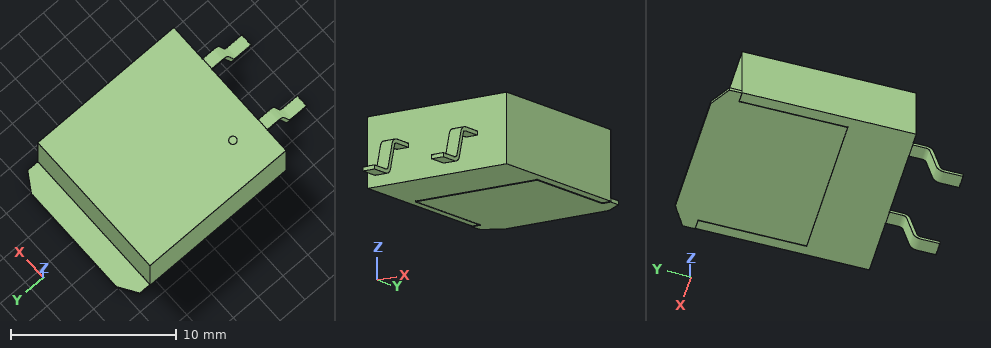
import cadquery as cq
import math


body_width = 10.3
body_length = 10.99
body_height = 4.5

total_length = 16.18
tab_thickness = 0.26
tab_standoff = 0.05
tab_overhang = 1.62
tab_length = 8.46
tab_corner_width = 1.26
tab_corner_length = 0.81
tab_side_inset = 0.65

lead_reach = total_length - body_length - tab_overhang
lead_width = 0.85
lead_pitch = 5.1
lead_thickness = 0.26
lead_top = 2.38
lead_shoulder = 1.62
lead_angle = math.radians(75)
bend_inner_radius = 0.26
bend_outer_radius = bend_inner_radius + lead_thickness

marker_diameter = 0.52
marker_depth = 0.1
marker_x = -lead_pitch / 2
marker_y = 2.0


def make_tab():
    """Plate with two cut rear corners, narrowed where it is buried in the housing."""
    half_width = body_width / 2
    inner_half_width = half_width - tab_side_inset
    rear_y = body_length + tab_overhang
    return (
        cq.Workplane("XY", origin=(0, 0, -tab_standoff))
        .polyline([
            (-inner_half_width, rear_y - tab_length),
            (inner_half_width, rear_y - tab_length),
            (inner_half_width, body_length),
            (half_width, body_length),
            (half_width, rear_y - tab_corner_length),
            (half_width - tab_corner_width, rear_y),
            (-half_width + tab_corner_width, rear_y),
            (-half_width, rear_y - tab_corner_length),
            (-half_width, body_length),
            (-inner_half_width, body_length),
        ])
        .close()
        .extrude(tab_thickness)
    )


def make_marker():
    """Disc set flush into the top of the housing."""
    return (
        cq.Workplane("XY", origin=(marker_x, marker_y, body_height - marker_depth))
        .circle(marker_diameter / 2)
        .extrude(marker_depth)
    )


def make_housing(tab, marker):
    """Rectangular block with matching recesses for the tab and the marker."""
    block = cq.Workplane("XY").box(body_width, body_length, body_height, centered=(True, False, False))
    return block.cut(tab).cut(marker)


def make_lead(center_x):
    """Bent strip from the front wall down to a foot level with the housing underside."""
    corner_shift = lead_thickness * math.tan(lead_angle / 2)
    top_outer_y = -lead_shoulder
    top_inner_y = top_outer_y + corner_shift
    foot_inner_y = top_outer_y - (lead_top - lead_thickness) / math.tan(lead_angle)
    foot_outer_y = foot_inner_y + corner_shift
    strip = (
        cq.Workplane("YZ", origin=(center_x, 0, 0))
        .polyline([
            (0, lead_top),
            (top_outer_y, lead_top),
            (foot_inner_y, lead_thickness),
            (-lead_reach, lead_thickness),
            (-lead_reach, 0),
            (foot_outer_y, 0),
            (top_inner_y, lead_top - lead_thickness),
            (0, lead_top - lead_thickness),
        ])
        .close()
        .extrude(lead_width / 2, both=True)
    )

    def corner_edge(y, z):
        return cq.selectors.NearestToPointSelector((center_x, y, z))

    strip = strip.edges(corner_edge(top_outer_y, lead_top)).fillet(bend_outer_radius)
    strip = strip.edges(corner_edge(top_inner_y, lead_top - lead_thickness)).fillet(bend_inner_radius)
    strip = strip.edges(corner_edge(foot_inner_y, lead_thickness)).fillet(bend_inner_radius)
    return strip.edges(corner_edge(foot_outer_y, 0)).fillet(bend_outer_radius)


tab = make_tab()
marker = make_marker()
housing = make_housing(tab, marker)
leads = [make_lead(side * lead_pitch / 2) for side in (-1, 1)]

result = cq.Compound.makeCompound([
    housing.val(),
    tab.val(),
    marker.val(),
    *[lead.val() for lead in leads],
])